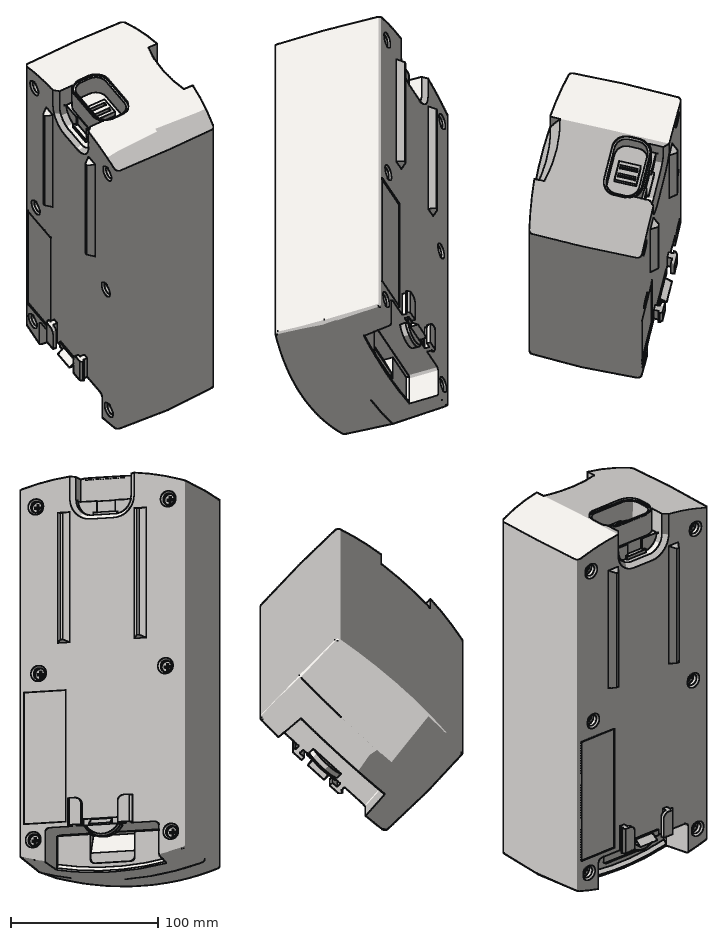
import cadquery as cq
import math

LENGTH = 272.7
HALF_WIDTH = 60
PARTING_Y = 41.2
BACK_Y = 84.0
END_HALF_WIDTH = 59.2
TOP_CORNER_Z = 264.8
TOP_DRAFT = 0.5
TOP_FLAT_HALF_WIDTH = 23.0
TOP_FLANK_BULGE = 1.0
BOTTOM_CORNER_Z = 9.0
BOTTOM_DRAFT = 3.0
BACK_SAG = 6.0
EDGE_FILLET = 3.0
BOTTOM_EDGE_FILLET = 1.5
BOTTOM_CORNER_RADIUS = 4.0

NOTCH_HALF_WIDTH = 19.5
NOTCH_FLOOR_Z = 245.0
NOTCH_CORNER = 11.5
NOTCH_DEPTH = 9.8
NOTCH_RIM = 3.3
PAD_TOP_Z = 255.8
PAD_HEIGHT = 1.4
PAD_GAP = 13.0
CATCH_WIDTH = 17.0
CATCH_HEIGHT = 2.5
CATCH_DEPTH = 3.0
SOCKET_WIDTH = 39.8
SOCKET_Y_RANGE = (12.5, 35.5)
SOCKET_CORNER = 8.2
SOCKET_FLOOR_Z = 256.3
SOCKET_RIM = 1.5
SOCKET_WALL = 2.5
PLUG_WIDTH = 13.5
PLUG_DEPTH = 15.3
PLUG_Y = 23.5
PLUG_HEIGHT = 4.0
PLUG_SLOT_WIDTH = 2.5
PLUG_SLOT_LENGTH = 12.0
PLUG_SLOT_SPACING = 6.0

SCOOP_SIDE_DEPTH = 8.2
SCOOP_MID_DEPTH = 11
SCOOP_SHELF_DEPTH = 4.0
SCOOP_LENGTH = 21.8

RAIL_X = 27.3
RAIL_WIDTH = 8.7
RAIL_TIP_WIDTH = 2.0
RAIL_HEIGHT = 4.5
RAIL_Z_RANGE = (157.5, 247.5)
RAIL_END_SLOPE = 1.4
SCREW_PLACES = [(47.2, 252.5), (45.3, 137.5), (49, 23.0)]
SCREW_DIAMETER = 8.0
SCREW_RIM_DIAMETER = 11
SCREW_DEPTH = 4.4
SCREW_RIM_DEPTH = 1.4
SCREW_CROSS_LENGTH = 4.4
SCREW_CROSS_WIDTH = 1.0
SCREW_CROSS_DEPTH = 1.4
LABEL_X_RANGE = (-56.0, -26.0)
LABEL_Z_RANGE = (34.0, 125.0)
LABEL_DEPTH = 0.8

POCKET_HALF_WIDTH = 40.5
POCKET_TOP_Z = 30.5
POCKET_TAPER = 4
POCKET_DEPTH = 20.7
POCKET_CORNER = 3.3
FLOOR_MARGIN = 0.3
FLOOR_LIP_HEIGHT = 2.2
FLOOR_LIP_WIDTH = 2.7
FLOOR_LIP_SAG = 3.8
TAB_HALF_WIDTH = 13.0
TAB_DROP = 7.5
TAB_THICKNESS = 5.5
TAB_CHAMFER = 1.4
GRIP_HALF_WIDTH = 15.8
GRIP_BOTTOM_Z = 8.7
GRIP_SLOPE_Z = 16.0
GRIP_LEDGE_DEPTH = 1.4
GRIP_DEPTH = 6.8
GRIP_CORNER = 3.3
HOOK_OUTER_X = 23.0
HOOK_INNER_X = 13.0
HOOK_STEM_X_RANGE = (17.5, 21.3)
HOOK_TOP_Z = 49
HOOK_REACH = 6.0
HOOK_TOE = 2.7
HOOK_CORNER = 4.4
HOOK_CHAMFER = 1.5
WEDGE_HALF_WIDTH = 7.5
WEDGE_TOP_Z = 35.0
WEDGE_REACH = 5.7
WEB_HEIGHT = 0.8

OVERLAP = 2.7
SIDE_CLEARANCE = 0.3


def box(x_range, y_range, z_range):
    sizes = [high - low for low, high in (x_range, y_range, z_range)]
    return cq.Workplane("XY").box(*sizes, centered=False).translate((x_range[0], y_range[0], z_range[0]))


def symmetric(half_width):
    return (-half_width, half_width)


def mirrored(shape):
    return shape.union(shape.mirror("YZ"))


def facing_plane(y):
    """Workplane at a given Y, with its own x along X and y along Z, and its normal toward -Y."""
    return cq.Workplane("XZ", origin=(0, y, 0))


def side_plan():
    """Plan outline with drafted sides, a bowed back and rounded corners, swept along the length."""
    back_side_y = BACK_Y - BACK_SAG
    return (
        cq.Workplane("XY")
        .moveTo(-END_HALF_WIDTH, 0)
        .lineTo(END_HALF_WIDTH, 0)
        .lineTo(HALF_WIDTH, PARTING_Y)
        .lineTo(END_HALF_WIDTH, back_side_y)
        .threePointArc((0, BACK_Y), (-END_HALF_WIDTH, back_side_y))
        .lineTo(-HALF_WIDTH, PARTING_Y)
        .close()
        .extrude(LENGTH)
        .edges("|Z and (not (<X or >X))")
        .fillet(EDGE_FILLET)
    )


def bowed_section(y, bottom_draft, top_draft):
    """Outline just wider than the housing, with bowed ends and rounded bottom corners."""
    bottom_corner_z = BOTTOM_CORNER_Z + bottom_draft
    top_corner_z = TOP_CORNER_Z - top_draft
    top_z = LENGTH - top_draft
    half_width = HALF_WIDTH + SIDE_CLEARANCE
    flank_x = (half_width + TOP_FLAT_HALF_WIDTH) / 2
    flank_z = (top_corner_z + top_z) / 2 + TOP_FLANK_BULGE
    wire = (
        facing_plane(y)
        .moveTo(-half_width, bottom_corner_z)
        .threePointArc((0, bottom_draft), (half_width, bottom_corner_z))
        .lineTo(half_width, top_corner_z)
        .threePointArc((flank_x, flank_z), (TOP_FLAT_HALF_WIDTH, top_z))
        .lineTo(-TOP_FLAT_HALF_WIDTH, top_z)
        .threePointArc((-flank_x, flank_z), (-half_width, top_corner_z))
        .close()
        .val()
    )
    bottom_corners = [vertex for vertex in wire.Vertices() if vertex.Z < LENGTH / 2]
    return wire.fillet2D(BOTTOM_CORNER_RADIUS, bottom_corners)


def bowed_half(end_y):
    """Block whose bowed ends taper from the parting plane to one end."""
    middle = bowed_section(PARTING_Y, 0, 0)
    end = bowed_section(end_y, BOTTOM_DRAFT, TOP_DRAFT)
    return cq.Workplane(cq.Solid.makeLoft([middle, end], True))


def housing():
    body = side_plan().intersect(bowed_half(0).union(bowed_half(BACK_Y)))
    side_x = HALF_WIDTH + OVERLAP
    back_bottom = cq.selectors.BoxSelector(
        (-side_x, BACK_Y - BACK_SAG, 0), (side_x, BACK_Y + OVERLAP, BOTTOM_CORNER_Z + BOTTOM_DRAFT)
    )
    body = body.faces("<Y").edges("<Z").fillet(BOTTOM_EDGE_FILLET)
    return body.edges(back_bottom).fillet(BOTTOM_EDGE_FILLET)


def notch_outline(growth, y):
    half_width = NOTCH_HALF_WIDTH + growth
    floor_z = NOTCH_FLOOR_Z - growth
    corner = NOTCH_CORNER + growth
    lean = corner * (1 - math.sqrt(0.5))
    end_z = LENGTH + OVERLAP
    return (
        facing_plane(y)
        .moveTo(-half_width, end_z)
        .lineTo(-half_width, floor_z + corner)
        .threePointArc((lean - half_width, floor_z + lean), (corner - half_width, floor_z))
        .lineTo(half_width - corner, floor_z)
        .threePointArc((half_width - lean, floor_z + lean), (half_width, floor_z + corner))
        .lineTo(half_width, end_z)
        .close()
    )


def notch():
    """U-shaped opening with a sloped rim, less the pads and the catch left on its back wall."""
    cutter = notch_outline(0, 0).extrude(-NOTCH_DEPTH)
    rim = cq.Solid.makeLoft([notch_outline(NOTCH_RIM, 0).val(), notch_outline(0, NOTCH_RIM).val()], True)
    cutter = cutter.union(cq.Workplane(rim))
    depth_end = NOTCH_DEPTH + OVERLAP
    pad = box(
        (PAD_GAP / 2, NOTCH_HALF_WIDTH + OVERLAP),
        (NOTCH_DEPTH - PAD_HEIGHT, depth_end),
        (NOTCH_FLOOR_Z - OVERLAP, PAD_TOP_Z),
    )
    catch = box(
        symmetric(CATCH_WIDTH / 2),
        (NOTCH_DEPTH - CATCH_DEPTH, depth_end),
        (NOTCH_FLOOR_Z - OVERLAP, NOTCH_FLOOR_Z + CATCH_HEIGHT),
    )
    above_pads = (PAD_TOP_Z, LENGTH + OVERLAP)
    wall_y_range = (NOTCH_DEPTH - OVERLAP, SOCKET_Y_RANGE[0] + SOCKET_CORNER)
    behind_wall = box(symmetric(NOTCH_HALF_WIDTH), wall_y_range, above_pads)
    cutter = cutter.cut(mirrored(pad)).cut(catch)
    return cutter.union(behind_wall.cut(socket_prism(SOCKET_WALL, *above_pads)))


def socket_prism(growth, low_z, high_z):
    front_y, back_y = SOCKET_Y_RANGE
    return (
        cq.Workplane("XY", origin=(0, (front_y + back_y) / 2, low_z))
        .rect(SOCKET_WIDTH + 2 * growth, back_y - front_y + 2 * growth)
        .extrude(high_z - low_z)
        .edges("|Z")
        .fillet(SOCKET_CORNER + growth)
    )


def socket():
    """Rounded plug socket with a stepped rim and a slotted plug on its floor."""
    cutter = socket_prism(0, SOCKET_FLOOR_Z, LENGTH + OVERLAP)
    cutter = cutter.union(socket_prism(SOCKET_RIM, LENGTH - SOCKET_RIM, LENGTH + OVERLAP))
    floor = cq.Workplane("XY", origin=(0, PLUG_Y, SOCKET_FLOOR_Z))
    plug = floor.rect(PLUG_WIDTH, PLUG_DEPTH).extrude(PLUG_HEIGHT)
    slots = (
        floor.rarray(PLUG_SLOT_SPACING, 2.7, 2, 1)
        .rect(PLUG_SLOT_WIDTH, PLUG_SLOT_LENGTH)
        .extrude(PLUG_HEIGHT)
    )
    return cutter.cut(plug.cut(slots))


def finger_scoop():
    """Hollow in the back, deepest at the top end, with a sloping wall that ends on a level shelf."""
    slope = math.degrees(math.atan((SCOOP_MID_DEPTH - SCOOP_SHELF_DEPTH) / SCOOP_LENGTH))
    outer_y = BACK_Y + SCOOP_MID_DEPTH
    hollow = (
        cq.Workplane("XY")
        .moveTo(-TOP_FLAT_HALF_WIDTH, outer_y)
        .lineTo(-TOP_FLAT_HALF_WIDTH, BACK_Y - SCOOP_SIDE_DEPTH)
        .threePointArc((0, BACK_Y - SCOOP_MID_DEPTH), (TOP_FLAT_HALF_WIDTH, BACK_Y - SCOOP_SIDE_DEPTH))
        .lineTo(TOP_FLAT_HALF_WIDTH, outer_y)
        .close()
        .extrude(2 * SCOOP_LENGTH, both=True)
        .rotate((0, BACK_Y - SCOOP_MID_DEPTH, 0), (1, BACK_Y - SCOOP_MID_DEPTH, 0), slope)
        .translate((0, 0, LENGTH))
    )
    above_shelf = box(symmetric(HALF_WIDTH), (0, outer_y), (LENGTH - SCOOP_LENGTH, LENGTH + OVERLAP))
    return hollow.intersect(above_shelf)


def rails():
    """Pair of tapered ribs with sloped ends."""
    low_z, high_z = RAIL_Z_RANGE
    length = high_z - low_z
    base = cq.Workplane("XZ", origin=(RAIL_X, 0, (low_z + high_z) / 2))
    rail = (
        base.rect(RAIL_WIDTH, length)
        .workplane(offset=RAIL_HEIGHT)
        .rect(RAIL_TIP_WIDTH, length - 2 * RAIL_END_SLOPE)
        .loft(ruled=True)
    )
    return mirrored(rail)


def screw_recess(x, z):
    """Countersunk well that shows a cross-slotted screw head at its floor."""
    opening = cq.Workplane("XZ", origin=(x, 0, z))
    well = opening.circle(SCREW_DIAMETER / 2).extrude(-SCREW_DEPTH)
    rim = (
        opening.circle(SCREW_RIM_DIAMETER / 2)
        .workplane(offset=-SCREW_RIM_DEPTH)
        .circle(SCREW_DIAMETER / 2)
        .loft()
    )
    head = opening.workplane(offset=-SCREW_DEPTH)
    cross = (
        head.rect(SCREW_CROSS_LENGTH, SCREW_CROSS_WIDTH)
        .extrude(-SCREW_CROSS_DEPTH)
        .union(head.rect(SCREW_CROSS_WIDTH, SCREW_CROSS_LENGTH).extrude(-SCREW_CROSS_DEPTH))
    )
    return well.union(rim).union(cross)


def pocket_floor_outline(half_width, top_z, mid_z, y):
    """Rectangle whose lower side bows like the bottom end of the housing."""
    return (
        facing_plane(y)
        .moveTo(-half_width, mid_z + FLOOR_LIP_SAG)
        .threePointArc((0, mid_z), (half_width, mid_z + FLOOR_LIP_SAG))
        .lineTo(half_width, top_z)
        .lineTo(-half_width, top_z)
        .close()
        .val()
    )


def latch_pocket():
    """Drafted pocket open to the bottom end, with a lipped floor, a finger grip and a latch tab."""
    mouth = facing_plane(0).rect(2 * POCKET_HALF_WIDTH, 2 * POCKET_TOP_Z)
    pocket = mouth.extrude(-POCKET_DEPTH, taper=POCKET_TAPER)
    pocket = pocket.edges("(not |X) and (not |Z)").fillet(POCKET_CORNER)
    inset = POCKET_DEPTH * math.tan(math.radians(POCKET_TAPER)) + FLOOR_MARGIN
    half_width = POCKET_HALF_WIDTH - inset
    top_z = POCKET_TOP_Z - inset
    floor_y = POCKET_DEPTH + FLOOR_LIP_HEIGHT
    floor = cq.Solid.makeLoft(
        [
            pocket_floor_outline(half_width, top_z, FLOOR_LIP_WIDTH, POCKET_DEPTH),
            pocket_floor_outline(half_width, top_z, 2 * FLOOR_LIP_WIDTH, floor_y),
        ],
        True,
    )
    grip = (
        cq.Workplane("YZ")
        .moveTo(floor_y + GRIP_LEDGE_DEPTH, GRIP_BOTTOM_Z)
        .lineTo(floor_y + GRIP_LEDGE_DEPTH, GRIP_SLOPE_Z)
        .lineTo(floor_y + GRIP_DEPTH, top_z)
        .lineTo(floor_y - OVERLAP, top_z)
        .lineTo(floor_y - OVERLAP, GRIP_BOTTOM_Z)
        .close()
        .extrude(GRIP_HALF_WIDTH, both=True)
        .edges("|Y and <Z")
        .fillet(GRIP_CORNER)
    )
    tab = (
        facing_plane(0)
        .moveTo(-TAB_HALF_WIDTH, POCKET_TOP_Z)
        .threePointArc((0, POCKET_TOP_Z - TAB_DROP), (TAB_HALF_WIDTH, POCKET_TOP_Z))
        .close()
        .extrude(-TAB_THICKNESS)
        .faces("<Y")
        .edges("not |X")
        .chamfer(TAB_CHAMFER)
    )
    return pocket.union(cq.Workplane(floor)).union(grip).cut(tab)


def hooks():
    """Pair of L-shaped hooks whose toes point toward the middle."""
    z_range = (POCKET_TOP_Z, HOOK_TOP_Z)
    stem = box(HOOK_STEM_X_RANGE, (-HOOK_REACH, OVERLAP), z_range)
    toe = box((HOOK_INNER_X, HOOK_OUTER_X), (-HOOK_REACH, HOOK_TOE - HOOK_REACH), z_range)
    toe = toe.edges("|Y and >Z and <X").fillet(HOOK_CORNER)
    toe = toe.edges("|Z and <Y and >X").chamfer(HOOK_CHAMFER)
    return mirrored(stem.union(toe))


def wedge():
    """Ramp between the hooks, rising toward the pocket from a low web."""
    web = box(symmetric(HOOK_INNER_X), (-WEB_HEIGHT, OVERLAP), (POCKET_TOP_Z, WEDGE_TOP_Z))
    ramp = (
        cq.Workplane("YZ")
        .moveTo(0, WEDGE_TOP_Z)
        .lineTo(-WEDGE_REACH, POCKET_TOP_Z)
        .lineTo(OVERLAP, POCKET_TOP_Z)
        .lineTo(OVERLAP, WEDGE_TOP_Z)
        .close()
        .extrude(WEDGE_HALF_WIDTH, both=True)
    )
    return ramp.union(web)


result = housing().cut(finger_scoop()).cut(socket()).cut(notch()).cut(latch_pocket())
result = result.cut(box(LABEL_X_RANGE, (-OVERLAP, LABEL_DEPTH), LABEL_Z_RANGE))
for screw_x, screw_z in SCREW_PLACES:
    for side in (-1, 1):
        result = result.cut(screw_recess(side * screw_x, screw_z))
result = result.union(rails()).union(hooks()).union(wedge())